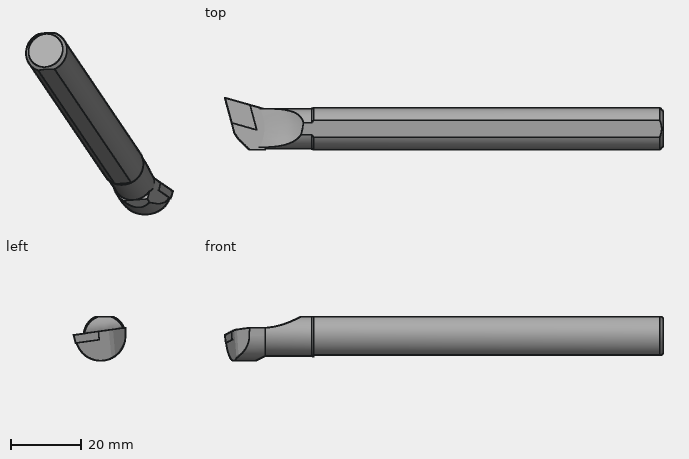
import cadquery as cq
import math

total_length = 124.8
shank_radius = 6.0
flat_height = 5.5
end_chamfer = 1.0

neck_radius = 5.7
neck_start = 9.4
neck_end = 24.7
step_length = 0.6

head_radius = 7.1
head_center_y = 1.1
head_wall_height = 3.7
head_taper_start = 8.9
head_end = 11.6

tip_y = 8.9
tip_z = 0.2
rake_angle = 8.0
relief_angle = 5.0

insert_side = 7.5
insert_thickness = 2.4
back_edge_angle = -16.0
front_edge_angle = -75.0

front_face_length = 10.5
facet_run = 0.7
facet_drop = 1.2
corner_run = 3.6
corner_drop = 3.6
trim_depth = 11.2

runout_center_x = -0.5
runout_center_y = 0.4
runout_floor_radius = 11.9
runout_fillet = 16.7
runout_height = 8.7

rake_sine = math.sin(math.radians(rake_angle))
rake_cosine = math.cos(math.radians(rake_angle))
rake_plane = cq.Plane(
    origin=(0, tip_y, tip_z),
    xDir=(1, 0, 0),
    normal=(0, rake_sine, rake_cosine),
)


def along(angle, distance):
    """Point in the rake face at a given direction and distance from the tip."""
    radians = math.radians(angle)
    return (distance * math.cos(radians), distance * math.sin(radians))


def make_shank():
    """Round bar with top and bottom flats and a chamfered rear end."""
    start = neck_end + step_length
    round_bar = (
        cq.Workplane("YZ", origin=(start, 0, 0))
        .circle(shank_radius)
        .extrude(total_length - start)
        .faces(">X")
        .chamfer(end_chamfer)
    )
    flats = cq.Workplane("XY").box(2 * total_length, 2 * shank_radius, 2 * flat_height)
    return round_bar.intersect(flats)


def make_neck():
    """Slim round neck, its short cone up to the shank, and a top flat."""
    shank_start = neck_end + step_length
    profile = [
        (neck_start, 0),
        (neck_start, neck_radius),
        (neck_end, neck_radius),
        (shank_start, shank_radius),
        (shank_start, 0),
    ]
    neck = cq.Workplane("XY").polyline(profile).close().revolve(360, (0, 0, 0), (1, 0, 0))
    below_flat = (
        cq.Workplane("XY", origin=(0, 0, flat_height))
        .rect(2 * total_length, 4 * shank_radius)
        .extrude(-4 * shank_radius)
    )
    return neck.intersect(below_flat)


def make_head_blank():
    """U-shaped head bar whose underside rises to meet the neck."""
    right = head_center_y - head_radius
    left = head_center_y + head_radius
    blank = (
        cq.Workplane("YZ")
        .moveTo(right, head_wall_height)
        .lineTo(right, 0)
        .threePointArc((head_center_y, -head_radius), (left, 0))
        .lineTo(left, head_wall_height)
        .close()
        .extrude(head_end)
    )
    underside = (
        cq.Workplane("XZ")
        .polyline([
            (head_taper_start, -head_radius),
            (head_end, -neck_radius),
            (head_end, -head_radius),
        ])
        .close()
        .extrude(2 * head_radius, both=True)
    )
    return blank.cut(underside)


def make_head_trim():
    """Tapered block giving the head its front, corner and back faces."""
    front_end = along(front_edge_angle, front_face_length)
    facet_end = (front_end[0] + facet_run, front_end[1] - facet_drop)
    corner_end = (facet_end[0] + corner_run, facet_end[1] - corner_drop)
    far_x = 2 * head_end
    outline = [
        (0, 0),
        front_end,
        facet_end,
        corner_end,
        (corner_end[0] + corner_run, corner_end[1] - corner_drop),
        (far_x, corner_end[1] - corner_drop),
        (far_x, far_x * math.tan(math.radians(back_edge_angle))),
    ]
    return cq.Workplane(rake_plane).polyline(outline).close().extrude(-trim_depth, taper=relief_angle)


def make_runout():
    """Disc standing on the rake face, flaring outwards along a tangent arc."""
    center_drop = (runout_center_y - tip_y) / rake_cosine
    half_angle = math.acos(1 - runout_height / runout_fillet) / 2

    def arc_point(angle):
        return (
            runout_floor_radius + runout_fillet * math.sin(angle),
            runout_fillet * (1 - math.cos(angle)),
        )

    plane = cq.Plane(
        origin=rake_plane.toWorldCoords((runout_center_x, center_drop, 0)),
        xDir=(1, 0, 0),
        normal=(0, -rake_cosine, rake_sine),
    )
    return (
        cq.Workplane(plane)
        .lineTo(runout_floor_radius, 0)
        .threePointArc(arc_point(half_angle), arc_point(2 * half_angle))
        .lineTo(0, runout_height)
        .close()
        .revolve(360, (0, 0, 0), (0, 1, 0))
    )


def make_insert():
    """Rhombic cutting insert with relieved sides."""
    back = along(back_edge_angle, insert_side)
    front = along(front_edge_angle, insert_side)
    rhombus = [(0, 0), back, (back[0] + front[0], back[1] + front[1]), front]
    return (
        cq.Workplane(rake_plane)
        .polyline(rhombus)
        .close()
        .extrude(-insert_thickness, taper=relief_angle)
    )


def make_holder(pocket):
    """Boring bar holder with a pocket that fits the insert."""
    head = make_head_blank().intersect(make_head_trim())
    body = make_shank().union(make_neck()).union(head)
    return body.cut(make_runout()).cut(pocket).solids()


insert = make_insert()
holder = make_holder(insert)

result = cq.Compound.makeCompound([holder.val(), insert.val()])